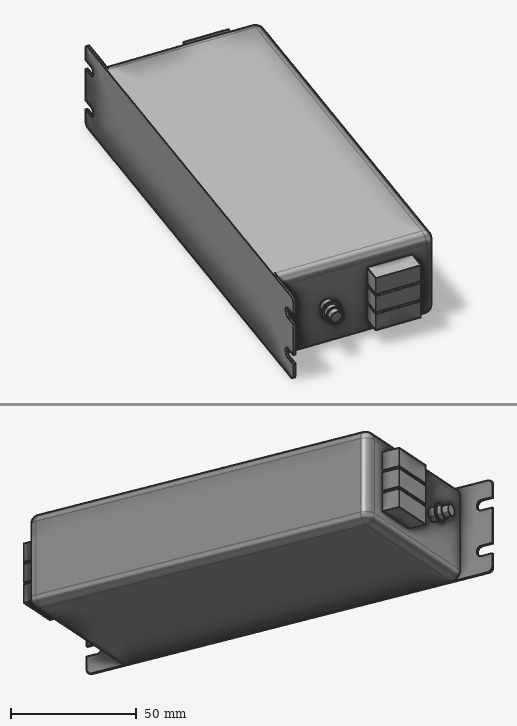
import cadquery as cq

panel_length = 190.0
panel_height = 40.0
panel_thickness = 1.0
panel_corner_radius = 2.0

slot_width = 4.5
slot_depth = 7.2
slot_spacing = 20.0

overall_depth = 70.0
box_length = 160.0
box_edge_radius = 4.0

terminals_per_end = 3
terminal_projection = 8.0
terminal_depth = 20.0
terminal_height = 8.0
terminal_pitch = 9.0
terminal_back_setback = 10.0

stud_y = 22.0
shank_diameter = 6.0
shank_length = 6.0
tip_diameter = 5.0
stud_length = 9.0
collar_diameter = 8.0
collar_offset = 3.5
collar_thickness = 0.5

box_end_x = box_length / 2
end_sides = (-1, 1)


def make_panel():
    plate = (
        cq.Workplane("XY")
        .box(panel_length, panel_thickness, panel_height, centered=(True, False, True))
        .edges("|Y")
        .fillet(panel_corner_radius)
    )
    slots = (
        cq.Workplane("XZ")
        .rarray(panel_length, slot_spacing, 2, 2)
        .slot2D(2 * slot_depth, slot_width)
        .extrude(-panel_thickness)
    )
    return plate.cut(slots)


def make_box():
    """Box whose edges are all rounded except those against the panel."""
    box_depth = overall_depth - panel_thickness
    return (
        cq.Workplane("XY", origin=(0, panel_thickness, 0))
        .box(box_length, box_depth, panel_height, centered=(True, False, True))
        .edges("not <Y")
        .fillet(box_edge_radius)
    )


def make_terminal(side, row):
    x = side * (box_end_x + terminal_projection / 2)
    y = overall_depth - terminal_back_setback - terminal_depth / 2
    z = (row - (terminals_per_end - 1) / 2) * terminal_pitch
    return cq.Workplane("XY", origin=(x, y, z)).box(
        terminal_projection, terminal_depth, terminal_height
    )


def make_housing():
    """Panel, box and terminal blocks as one solid."""
    housing = make_panel().union(make_box())
    for side in end_sides:
        for row in range(terminals_per_end):
            housing = housing.union(make_terminal(side, row))
    return housing


def make_stud(side):
    """Collared stud standing outward on the box end at the given side (-1 or 1)."""
    box_end = cq.Workplane(
        cq.Plane(origin=(side * box_end_x, stud_y, 0), xDir=(0, 0, 1), normal=(side, 0, 0))
    )
    shank = box_end.circle(shank_diameter / 2).extrude(shank_length)
    tip = box_end.circle(tip_diameter / 2).extrude(stud_length)
    collar = (
        box_end.workplane(offset=collar_offset)
        .circle(collar_diameter / 2)
        .extrude(collar_thickness)
    )
    return shank.union(tip).union(collar)


housing = make_housing()
studs = [make_stud(side) for side in end_sides]

result = cq.Compound.makeCompound([housing.val(), *[stud.val() for stud in studs]])